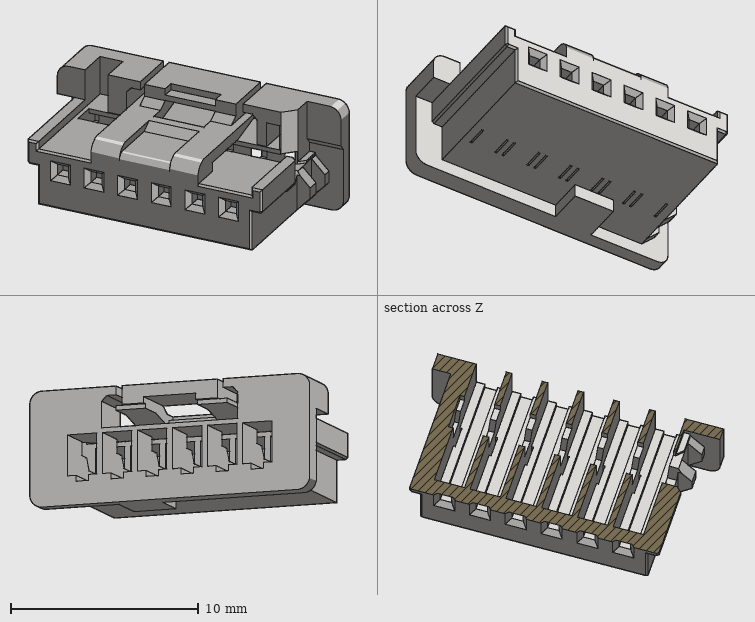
import cadquery as cq


width = 16
depth = 8.55
height = 6.3
corner_radius = 0.7
flange_thick = 1.0
flange_front = depth - flange_thick
block_front = 5.73

body_half = 6.35
body_bottom = 0.8
body_top = 4.08
face_chamfer = 0.11

wing_inner = 6.34
wing_outer = 6.98
wing_bottom = 3.1
wing_top = 4.53
right_wing_back = 4.35
right_wing_corner = 0.29
right_wall_top = wing_bottom + face_chamfer

window_half = 3.89
window_top = 5.82
window_corner = 0.3
slot_outer = 3.05
notch_left = -6.34
notch_right = -4.98
right_block_end = 5.98
right_block_corner = 0.67
pocket_left = 4.46
pocket_right = 5.23
pocket_top = 5.49
recess_depth = 0.29
recess_bottom = 3.75

beam_half = 3.18
beam_top = 5.28
beam_radius = 0.8
beam_underside = 4.6
beam_root = 1.76
beam_taper_start = 4.83
beam_taper_end = 6.72
beam_tip_underside = 5.04
beam_back = 8.27
plate_half = 2.72
plate_front = 5.55
plate_ramp_top = 5.6
plate_ramp_front = 4.98
latch_gap_half = 1.49
plate_underside = 5.62
grip_floor = 5.94
grip_back = 6.25
dip_floor = 4.9
dip_radius = dip_floor - (beam_top - beam_radius)
dip_ramp_start = 3.0
dip_ramp_end = 3.6
bridge_back = 4.16
ledge_back = 4.7
ledge_top = 5.0

contact_count = 6
pitch = 2.0
cavity_half = 0.83
cavity_front = 0.96
cavity_floor = 1.6
cavity_top = 3.82
channel_half = 0.35
channel_floor = 1.28
slit_inner = 0.72
slit_back = 5.54
entry_half = 0.32
entry_center = 3.0
funnel_half = 0.6
funnel_depth = 0.3

opening_front = right_wing_back
opening_back = 5.66
opening_left = -6.08
partition_top = 3.07
partition_step = 6.38
partition_low = 2.43
partition_ramp_start = 5.31

bottom_rib_left = 0.77
bottom_rib_right = 3.17
rib_front = plate_front
side_rib_reach = 7.14
side_rib_low = 1.6
side_rib_high = 2.27
side_rib_top = side_rib_high + side_rib_reach - body_half
side_rib_slot_front = grip_back
side_rib_slot_back = 7.33


def box(x0, x1, y0, y1, z0, z1):
    """Box between two limits on each axis."""
    return cq.Workplane("XY").box(x1 - x0, y1 - y0, z1 - z0, centered=False).translate((x0, y0, z0))


def along_y(points, y0, y1):
    """Outline of (x, z) points swept from y0 to y1."""
    return cq.Workplane("XZ", origin=(0, y0, 0)).polyline(points).close().extrude(y0 - y1)


def along_x(points, x0, x1):
    """Outline of (y, z) points swept from x0 to x1."""
    return cq.Workplane("YZ", origin=(x0, 0, 0)).polyline(points).close().extrude(x1 - x0)


def along_z(points, z0, z1):
    """Outline of (x, y) points swept from z0 to z1."""
    return cq.Workplane("XY", origin=(0, 0, z0)).polyline(points).close().extrude(z1 - z0)


def make_body():
    """Plug body with two side wings, chamfered around its mating face."""
    right_half = [
        (0, body_bottom),
        (body_half, body_bottom),
        (body_half, wing_bottom),
        (wing_outer - face_chamfer, wing_bottom),
        (wing_outer, wing_bottom + face_chamfer),
        (wing_outer, wing_top),
        (wing_inner, wing_top),
        (wing_inner, body_top),
        (0, body_top),
    ]
    left_half = [(-x, z) for x, z in right_half[-2:0:-1]]
    body = along_y(right_half + left_half, 0, depth)
    body = body.faces("<Y").chamfer(face_chamfer)
    right_wing_gap = box(wing_inner, wing_outer, right_wing_back, depth, wing_bottom, wing_top)
    gap_corner = along_z(
        [
            (wing_outer - right_wing_corner, right_wing_back),
            (wing_outer, right_wing_back),
            (wing_outer, right_wing_back - right_wing_corner),
        ],
        wing_bottom,
        wing_top,
    )
    low_right_wall = box(right_block_end, body_half, right_wing_back, depth, right_wall_top, body_top)
    return body.cut(right_wing_gap).cut(gap_corner).cut(low_right_wall)


def make_flange():
    """Rear flange with thick upper blocks, before the latch is added."""
    flange = box(-width / 2, width / 2, flange_front, depth, 0, height)
    flange = flange.union(box(-width / 2, notch_left, block_front, depth, wing_top, height))
    flange = flange.union(box(notch_right, right_block_end, block_front, depth, body_top, height))
    rounded = box(-width / 2, width / 2, 0, depth, 0, height).edges("|Y").fillet(corner_radius)
    flange = flange.intersect(rounded)

    block_corner = along_z(
        [
            (right_block_end - right_block_corner, block_front),
            (right_block_end, block_front),
            (right_block_end, block_front + right_block_corner),
        ],
        body_top,
        height,
    )
    pocket = box(pocket_left, pocket_right, block_front, flange_front, body_top, pocket_top)
    recess = along_x(
        [
            (flange_front, 0),
            (flange_front, body_top),
            (flange_front + recess_depth, recess_bottom),
            (flange_front + recess_depth, 0),
        ],
        bottom_rib_right,
        width / 2,
    )
    return flange.cut(block_corner).cut(pocket).cut(recess)


def make_window():
    """Opening through the flange around the latch, with slots up to the top face."""
    window = box(-window_half, window_half, block_front, depth, body_top, window_top)
    window = window.edges("|Y and >Z").chamfer(window_corner)
    return window.union(box(-slot_outer, slot_outer, block_front, depth, body_top, height))


def make_latch():
    """Cantilever beam rising from the body front, carrying the latch plate at its rear end."""
    beam_side = (
        cq.Workplane("YZ", origin=(-beam_half, 0, 0))
        .moveTo(0, body_top - face_chamfer)
        .lineTo(0, beam_top - beam_radius)
        .radiusArc((beam_radius, beam_top), beam_radius)
        .lineTo(beam_back, beam_top)
        .lineTo(beam_back, beam_tip_underside)
        .lineTo(beam_taper_end, beam_tip_underside)
        .lineTo(beam_taper_start, beam_underside)
        .lineTo(beam_root, beam_underside)
        .lineTo(beam_root, body_top - face_chamfer)
        .close()
    )
    beam = beam_side.extrude(2 * beam_half)

    plate = along_x(
        [
            (plate_ramp_front, beam_top),
            (plate_front, plate_ramp_top),
            (plate_front, height),
            (depth, height),
            (depth, beam_top),
        ],
        -plate_half,
        plate_half,
    )
    dip = (
        cq.Workplane("YZ", origin=(-latch_gap_half, 0, 0))
        .moveTo(0, beam_top)
        .lineTo(0, dip_floor - dip_radius)
        .radiusArc((dip_radius, dip_floor), dip_radius)
        .lineTo(dip_ramp_start, dip_floor)
        .lineTo(dip_ramp_end, beam_top)
        .close()
        .extrude(2 * latch_gap_half)
    )
    center_opening = along_x(
        [
            (bridge_back, ledge_top),
            (ledge_back, ledge_top),
            (ledge_back, body_top),
            (depth, body_top),
            (depth, plate_underside),
            (bridge_back, plate_underside),
        ],
        -latch_gap_half,
        latch_gap_half,
    )
    grip = box(-latch_gap_half, latch_gap_half, plate_front, grip_back, grip_floor, height)
    return beam.union(plate).cut(dip).cut(center_opening).cut(grip)


def make_ribs():
    """Keying ribs under the body and on its right side, with a gap across the side rib."""
    bottom_rib = box(bottom_rib_left, bottom_rib_right, rib_front, depth, 0, body_bottom)
    side_rib = along_y(
        [
            (body_half, body_bottom),
            (side_rib_reach, side_rib_low),
            (side_rib_reach, side_rib_high),
            (body_half, side_rib_top),
        ],
        rib_front,
        depth,
    )
    slot = box(
        body_half,
        side_rib_reach,
        side_rib_slot_front,
        side_rib_slot_back,
        body_bottom,
        side_rib_top,
    )
    return bottom_rib.union(side_rib.cut(slot))


def make_opening():
    """Opening in the body top; the partitions below are cut low and ramp up to a step under the rear skin.

    It runs out through the right side and bevels the tip of the side rib.
    """
    ramped = along_x(
        [
            (opening_front, partition_low),
            (partition_ramp_start, partition_low),
            (opening_back, partition_top),
            (partition_step, partition_top),
            (partition_step, cavity_top),
            (opening_back, cavity_top),
            (opening_back, body_top),
            (opening_front, body_top),
        ],
        opening_left,
        side_rib_reach,
    )
    skin_start = right_block_end - right_block_corner
    skin_run = wing_inner - skin_start
    skin_cut = along_z(
        [
            (skin_start, opening_front),
            (body_half, opening_front),
            (body_half, block_front + skin_run),
            (wing_inner, block_front + skin_run),
            (skin_start, block_front),
        ],
        partition_top,
        body_top,
    )
    return ramped.union(skin_cut)


def make_cavity(x):
    """Contact cavity open at the back, with a funnel entry in front and two slits through its floor."""
    cavity = box(x - cavity_half, x + cavity_half, cavity_front, depth, cavity_floor, cavity_top)
    channel = box(x - channel_half, x + channel_half, cavity_front, depth, channel_floor, cavity_top)
    entry = box(
        x - entry_half,
        x + entry_half,
        0,
        cavity_front,
        entry_center - entry_half,
        entry_center + entry_half,
    )
    funnel = (
        cq.Workplane("XZ", origin=(x, 0, entry_center))
        .rect(2 * funnel_half, 2 * funnel_half)
        .workplane(offset=-funnel_depth)
        .rect(2 * entry_half, 2 * entry_half)
        .loft()
    )
    cavity = cavity.union(channel).union(entry).union(funnel)
    for near, far in ((-cavity_half, -slit_inner), (slit_inner, cavity_half)):
        cavity = cavity.union(box(x + near, x + far, opening_front, slit_back, body_bottom, cavity_top))
    return cavity


result = make_flange().union(make_body()).union(make_ribs())
result = result.cut(make_window()).cut(make_opening())
result = result.union(make_latch())
for i in range(contact_count):
    result = result.cut(make_cavity((i - (contact_count - 1) / 2) * pitch))